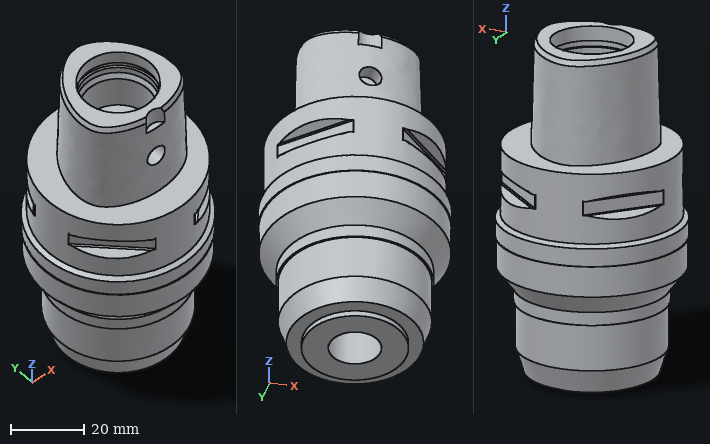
import cadquery as cq
import math


shank_length = 30.0
shank_base_radius = 17.71
shank_taper = 1.0 / 40.0
lobe_height = 1.22
tip_chamfer_height = 1.5
tip_chamfer_width = 0.8
profile_points = 48

flange_diameter = 50.0
flange_depth = 20.2
collar_diameter = 53.0
collar_chamfer_angle = 30.0
collar_end_depth = 26.3
skirt_diameter = 52.5
skirt_end_depth = 35.1
neck_diameter = 43.0
cone_end_depth = 41.2
neck_end_depth = 45.0
nose_diameter = 42.0
nose_end_depth = 58.3
nose_tip_diameter = 37.5
nose_tip_depth = 65.3
spigot_diameter = 29.2
body_depth = 67.0

mouth_diameter = 22.9
bore_diameter = 21.1
through_diameter = 14.5
mouth_depth = 8.1
bore_cone_angle = 30.0
bore_depth = 20.0
groove_diameter = 24.5
groove_start_depth = 4.2
groove_end_depth = 6.1

key_radius = 4.0
key_center_y = -17.9
key_depth = 5.4

side_hole_diameter = 6.3
side_hole_height = 14.0
side_hole_floor_y = -11.3

slot_count = 4
slot_center_depth = 9.95
slot_floor_width = 4.1
slot_floor_distance = 21.7
slot_flank_distance = 22.5
slot_length = 23.8
slot_flank_angle = 30.0


def polygon_wire(mean_radius, height):
    """Closed three-lobed curve with one lobe toward +Y, starting on the -Y side."""
    points = []
    for index in range(profile_points):
        angle = 2 * math.pi * index / profile_points - math.pi / 2
        lobe_angle = 3 * (angle - math.pi / 2)
        support = mean_radius + lobe_height * math.cos(lobe_angle)
        support_rate = -3 * lobe_height * math.sin(lobe_angle)
        x = support * math.cos(angle) - support_rate * math.sin(angle)
        y = support * math.sin(angle) + support_rate * math.cos(angle)
        points.append(cq.Vector(x, y, height))
    return cq.Wire.assembleEdges([cq.Edge.makeSpline(points, periodic=True)])


def make_shank():
    chamfer_start = shank_length - tip_chamfer_height
    chamfer_radius = shank_base_radius - shank_taper * chamfer_start
    base = polygon_wire(shank_base_radius, 0)
    shoulder = polygon_wire(chamfer_radius, chamfer_start)
    tip = polygon_wire(chamfer_radius - tip_chamfer_width, shank_length)
    taper = cq.Workplane(cq.Solid.makeLoft([base, shoulder], True))
    chamfer = cq.Workplane(cq.Solid.makeLoft([shoulder, tip], True))
    return taper.union(chamfer)


def make_body():
    collar_step = (collar_diameter - flange_diameter) / 2
    collar_depth = flange_depth + collar_step * math.tan(math.radians(collar_chamfer_angle))
    outline = [
        (0, 0),
        (flange_diameter / 2, 0),
        (flange_diameter / 2, -flange_depth),
        (collar_diameter / 2, -collar_depth),
        (collar_diameter / 2, -collar_end_depth),
        (skirt_diameter / 2, -collar_end_depth),
        (skirt_diameter / 2, -skirt_end_depth),
        (neck_diameter / 2, -cone_end_depth),
        (neck_diameter / 2, -neck_end_depth),
        (nose_diameter / 2, -neck_end_depth),
        (nose_diameter / 2, -nose_end_depth),
        (nose_tip_diameter / 2, -nose_tip_depth),
        (spigot_diameter / 2, -nose_tip_depth),
        (spigot_diameter / 2, -body_depth),
        (0, -body_depth),
    ]
    return cq.Workplane("YZ").polyline(outline).close().revolve(360, (0, 0, 0), (0, 1, 0))


def make_bore():
    cone_width = (mouth_diameter - bore_diameter) / 2
    cone_length = cone_width / math.tan(math.radians(bore_cone_angle))
    outline = [
        (0, shank_length),
        (mouth_diameter / 2, shank_length),
        (mouth_diameter / 2, shank_length - groove_start_depth),
        (groove_diameter / 2, shank_length - groove_start_depth),
        (groove_diameter / 2, shank_length - groove_end_depth),
        (mouth_diameter / 2, shank_length - groove_end_depth),
        (mouth_diameter / 2, shank_length - mouth_depth),
        (bore_diameter / 2, shank_length - mouth_depth - cone_length),
        (bore_diameter / 2, shank_length - bore_depth),
        (through_diameter / 2, shank_length - bore_depth),
        (through_diameter / 2, -body_depth),
        (0, -body_depth),
    ]
    return cq.Workplane("YZ").polyline(outline).close().revolve(360, (0, 0, 0), (0, 1, 0))


def make_key_slot():
    floor = cq.Workplane("XY").workplane(offset=shank_length - key_depth)
    return floor.center(0, key_center_y).circle(key_radius).extrude(key_depth)


def make_side_hole():
    start = cq.Workplane("XZ", origin=(0, side_hole_floor_y, side_hole_height))
    return start.circle(side_hole_diameter / 2).extrude(flange_diameter / 2)


def make_gripper_slot(angle):
    reach = collar_diameter / 2
    flare = (reach - slot_flank_distance) * math.tan(math.radians(slot_flank_angle))
    floor_half = slot_floor_width / 2
    outline = [
        (slot_floor_distance, -floor_half),
        (slot_flank_distance, -floor_half),
        (reach, -floor_half - flare),
        (reach, floor_half + flare),
        (slot_flank_distance, floor_half),
        (slot_floor_distance, floor_half),
    ]
    section = cq.Workplane("XZ", origin=(0, 0, -slot_center_depth)).polyline(outline).close()
    slot = section.extrude(slot_length / 2, both=True)
    return slot.rotate((0, 0, 0), (0, 0, 1), angle)


result = make_body().union(make_shank())
result = result.cut(make_bore()).cut(make_key_slot()).cut(make_side_hole())
for slot_index in range(slot_count):
    result = result.cut(make_gripper_slot((slot_index + 0.5) * 360 / slot_count))